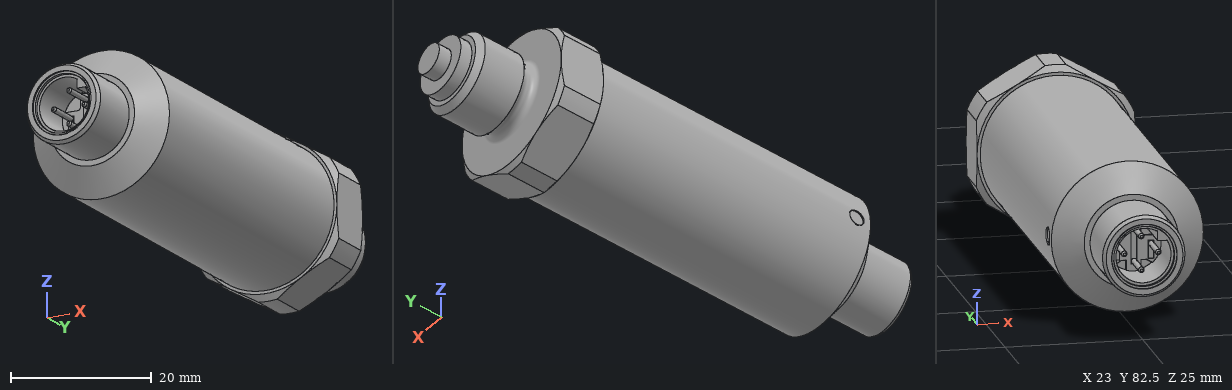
import cadquery as cq
import math

overall_length = 82.5

collar_radius = 12.0 / 2
collar_chamfer = 0.6
collar_chamfer_drop = 0.4
collar_end = 9.0

body_radius = 22.1 / 2
shoulder_end = 11.6
shoulder_face_radius = 6.85

hex_start = 60.0
hex_end = 67.6
hex_across_flats = 23.0
hex_corner_diameter = 25.0
hex_chamfer_angle = 30.0

neck_radius = 11.2 / 2
neck_fillet = 1.0
thread_radius = 13.1 / 2
thread_start = 70.4
thread_end = 78.4
thread_end_chamfer = 1.0
spigot_radius = 9.5 / 2
spigot_end = 80.35
tip_radius = 5.0 / 2

vent_diameter = 2.55
vent_depth = 0.25
vent_y = 14.1

mouth_radius = 9.5 / 2
mouth_depth = 0.25
ledge_radius = 8.8 / 2
ledge_depth = 0.75
socket_radius = 8.0 / 2
socket_depth = 7.8
key_corner = 2.1

island_height = 0.4
arm_half_width = 1.1
arm_top = 3.55
arm_upper_z = 1.15
arm_lower_z = -2.4
arm_lower_flat_x = 1.8
arm_lower_slope = 0.6
island_corner_radius = 0.4

pin_diameter = 0.8
pin_tip_diameter = 0.4
pin_tip_length = 0.3
pin_depth = 1.9
pin_circle_radius = 2.5
rib_height = 0.25
side_rib_end = -2.2


def cylinder(radius, start, end):
    """Cylinder about the Y axis between two Y positions."""
    return cq.Workplane("XZ", origin=(0, start, 0)).circle(radius).extrude(start - end)


def block(x_min, x_max, y_min, y_max, z_min, z_max):
    """Axis-aligned box given by its limits."""
    size = (x_max - x_min, y_max - y_min, z_max - z_min)
    return cq.Workplane("XY", origin=(x_min, y_min, z_min)).box(*size, centered=False)


def revolve_about_y(profile):
    return profile.close().revolve(360, (0, 0, 0), (0, 1, 0))


def turned_body():
    """All round stretches in one turned profile of (radius, y) points."""
    fillet_run = neck_fillet * math.sin(math.radians(45))
    foot_radius = neck_radius + neck_fillet - fillet_run
    foot_y = thread_start - (thread_radius - foot_radius)
    profile = (
        cq.Workplane("XY")
        .moveTo(0, 0)
        .lineTo(collar_radius - collar_chamfer_drop, 0)
        .lineTo(collar_radius, collar_chamfer)
        .lineTo(collar_radius, collar_end)
        .lineTo(shoulder_face_radius, collar_end)
        .lineTo(body_radius, shoulder_end)
        .lineTo(body_radius, hex_end)
        .lineTo(neck_radius + neck_fillet, hex_end)
        .radiusArc((neck_radius, hex_end + neck_fillet), neck_fillet)
        .lineTo(neck_radius, foot_y - fillet_run)
        .radiusArc((foot_radius, foot_y), neck_fillet)
        .lineTo(thread_radius, thread_start)
        .lineTo(thread_radius, thread_end - thread_end_chamfer)
        .lineTo(thread_radius - thread_end_chamfer, thread_end)
        .lineTo(spigot_radius, thread_end)
        .lineTo(spigot_radius, spigot_end)
        .lineTo(tip_radius, spigot_end)
        .lineTo(tip_radius, overall_length)
        .lineTo(0, overall_length)
    )
    return revolve_about_y(profile)


def hex_nut():
    """Hexagon with flats on +-X, its corners turned down and both ends chamfered."""
    across_corners = hex_across_flats / math.cos(math.radians(30))
    prism = (
        cq.Workplane("XZ", origin=(0, hex_start, 0))
        .transformed(rotate=(0, 0, 90))
        .polygon(6, across_corners)
        .extrude(hex_start - hex_end)
    )
    corner_radius = hex_corner_diameter / 2
    face_radius = hex_across_flats / 2
    drop = (corner_radius - face_radius) * math.tan(math.radians(hex_chamfer_angle))
    envelope = revolve_about_y(
        cq.Workplane("XY")
        .moveTo(0, hex_start)
        .lineTo(face_radius, hex_start)
        .lineTo(corner_radius, hex_start + drop)
        .lineTo(corner_radius, hex_end - drop)
        .lineTo(face_radius, hex_end)
        .lineTo(0, hex_end)
    )
    return prism.intersect(envelope)


def vent_recess():
    return (
        cq.Workplane("YZ", origin=(-body_radius, vent_y, 0))
        .circle(vent_diameter / 2)
        .extrude(vent_depth)
    )


def socket():
    """Stepped bore, leaving the coding key standing in its upper +X corner."""
    bore = cylinder(socket_radius, 0, socket_depth)
    key = block(
        key_corner, socket_radius, ledge_depth, socket_depth, key_corner, socket_radius
    )
    mouth = cylinder(mouth_radius, 0, mouth_depth)
    ledge = cylinder(ledge_radius, 0, ledge_depth)
    return bore.cut(key).union(ledge).union(mouth)


def floor_island():
    """Cross-shaped island rising from the socket floor."""
    slope_drop = (socket_radius - arm_lower_flat_x) * arm_lower_slope
    right_side = [
        (arm_half_width, arm_top),
        (arm_half_width, arm_upper_z),
        (socket_radius, arm_upper_z),
        (socket_radius, arm_lower_z - slope_drop),
        (arm_lower_flat_x, arm_lower_z),
        (arm_half_width, arm_lower_z),
        (arm_half_width, -socket_radius),
    ]
    left_side = [(-x, z) for x, z in reversed(right_side)]
    island = (
        cq.Workplane("XZ", origin=(0, socket_depth, 0))
        .polyline(right_side + left_side)
        .close()
        .extrude(island_height)
    )
    selection_margin = 0.1
    for z in (arm_top, arm_upper_z):
        corners = cq.selectors.BoxSelector(
            (-arm_half_width - selection_margin, 0, z - selection_margin),
            (arm_half_width + selection_margin, socket_depth, z + selection_margin),
        )
        island = island.edges("|Y").edges(corners).fillet(island_corner_radius)
    return island.intersect(cylinder(socket_radius, 0, socket_depth))


def contact_ribs():
    """One rib joining the upper and lower pins, and one hanging below each side pin."""
    half = pin_diameter / 2
    top = socket_depth - island_height - rib_height
    reach = pin_circle_radius + half
    ribs = block(-half, half, top, socket_depth, -reach, reach)
    for x in (-pin_circle_radius, pin_circle_radius):
        rib = block(x - half, x + half, top, socket_depth, side_rib_end, half)
        ribs = ribs.union(rib)
    return ribs


def contact_pins():
    """Four pins on a circle, each with a tapered tip."""
    shoulder_y = pin_depth + pin_tip_length
    pin = revolve_about_y(
        cq.Workplane("XY")
        .moveTo(0, pin_depth)
        .lineTo(pin_tip_diameter / 2, pin_depth)
        .lineTo(pin_diameter / 2, shoulder_y)
        .lineTo(pin_diameter / 2, socket_depth)
        .lineTo(0, socket_depth)
    ).translate((pin_circle_radius, 0, 0))
    pins = pin
    for quarter in (1, 2, 3):
        pins = pins.union(pin.rotate((0, 0, 0), (0, 1, 0), 90 * quarter))
    return pins


result = (
    turned_body()
    .union(hex_nut())
    .cut(vent_recess())
    .cut(socket())
    .union(floor_island())
    .union(contact_ribs())
    .union(contact_pins())
)